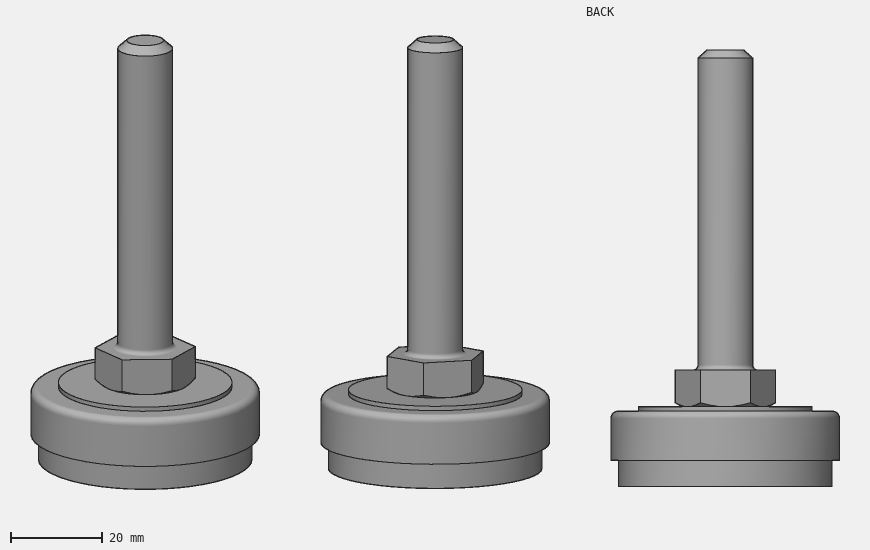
import cadquery as cq
import math

total_height = 95.5

pad_radius = 23.4
pad_height = 5.7

housing_radius = 25.0
housing_height = 10.8
housing_fillet = 1.6

disc_radius = 19.0
disc_thickness = 1.0

hex_across_flats = 19.0
hex_height = 8.0
hex_chamfer_angle = 30.0
rod_radius = 6.0
rod_root_fillet = 1.05
rod_tip_radius = 4.0
rod_tip_height = 1.8

housing_bottom = pad_height
disc_bottom = housing_bottom + housing_height
stud_bottom = disc_bottom + disc_thickness
hex_top = stud_bottom + hex_height


def disc_at(bottom, radius, height):
    """Plain upright cylinder centred on the Z axis."""
    return cq.Workplane("XY").workplane(offset=bottom).circle(radius).extrude(height)


def make_pad():
    return disc_at(0, pad_radius, pad_height)


def make_housing():
    body = disc_at(housing_bottom, housing_radius, housing_height)
    return body.faces(">Z").edges().fillet(housing_fillet)


def make_cover_disc():
    return disc_at(disc_bottom, disc_radius, disc_thickness)


def make_hex_head():
    """Hexagon with two corners on the X axis and its lower corners cut by a cone."""
    flat_radius = hex_across_flats / 2
    corner_radius = flat_radius / math.cos(math.pi / 6)
    chamfer_rise = (corner_radius - flat_radius) * math.tan(math.radians(hex_chamfer_angle))
    prism = (
        cq.Workplane("XY")
        .workplane(offset=stud_bottom)
        .polygon(6, 2 * corner_radius)
        .extrude(hex_height)
    )
    chamfer_envelope = (
        cq.Workplane("XZ")
        .moveTo(0, stud_bottom)
        .lineTo(flat_radius, stud_bottom)
        .lineTo(corner_radius, stud_bottom + chamfer_rise)
        .lineTo(corner_radius, hex_top)
        .lineTo(0, hex_top)
        .close()
        .revolve(360, (0, 0, 0), (0, 1, 0))
    )
    return prism.intersect(chamfer_envelope)


def make_rod():
    """Round rod with a concave fillet at its root and a conical tip."""
    root_radius = rod_radius + rod_root_fillet
    fillet_top = hex_top + rod_root_fillet
    arc_offset = rod_root_fillet * (1 - math.sqrt(0.5))
    return (
        cq.Workplane("XZ")
        .moveTo(0, hex_top)
        .lineTo(root_radius, hex_top)
        .threePointArc((rod_radius + arc_offset, hex_top + arc_offset), (rod_radius, fillet_top))
        .lineTo(rod_radius, total_height - rod_tip_height)
        .lineTo(rod_tip_radius, total_height)
        .lineTo(0, total_height)
        .close()
        .revolve(360, (0, 0, 0), (0, 1, 0))
    )


def make_stud():
    return make_hex_head().union(make_rod())


pad = make_pad()
housing = make_housing()
cover_disc = make_cover_disc()
stud = make_stud()

result = cq.Compound.makeCompound([pad.val(), housing.val(), cover_disc.val(), stud.val()])